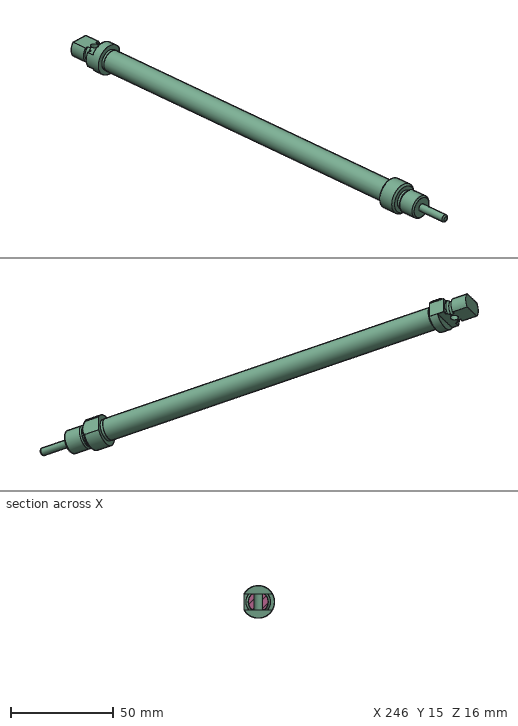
import cadquery as cq


total_length = 246.0
relief_start_x = 8.4
relief_taper_x = 10.3
rear_flange_start_x = 12.0
slot_end_x = 15.5
rear_flange_end_x = 20.2
tube_start_x = 21.6
tube_end_x = 207.6
front_flange_start_x = 209.0
front_flange_end_x = 218.2
thread_start_x = 220.0
thread_end_x = 229.8

flange_radius = 16.0 / 2
flange_flat_y = 15.0 - flange_radius
thread_radius = 12.0 / 2
relief_radius = 9.8 / 2
tube_radius = 11.3 / 2
collar_radius = 11.0 / 2
rod_radius = 4.0 / 2

tongue_thickness = 7.9
pivot_hole_diameter = 4.0
pivot_hole_x = 10.0

relief_taper_length = 1.0
flange_chamfer = 1.0
thread_chamfer = 0.7
rod_chamfer = 0.7

cutter_size = 3 * flange_radius


def turned(outline):
    """Revolve an (x, radius) outline, closed along the X axis, into a solid."""
    start_x = outline[0][0]
    end_x = outline[-1][0]
    points = [(start_x, 0), *outline, (end_x, 0)]
    return cq.Workplane("XZ").polyline(points).close().revolve(360, (0, 0), (1, 0))


def block(start_x, end_x, bottom_z=-cutter_size, start_y=-cutter_size):
    """Box between two X stations, reaching past the part in +Y and +Z."""
    return cq.Workplane("XY").box(
        end_x - start_x, cutter_size - start_y, cutter_size - bottom_z, centered=False
    ).translate((start_x, start_y, bottom_z))


def cut_flange_flat(cap):
    """Plane the +Y side of a cap's flange to a flat."""
    return cap.cut(block(0, total_length, start_y=flange_flat_y))


def make_rear_cap():
    cap = turned([
        (0, thread_radius),
        (relief_start_x, thread_radius),
        (relief_start_x, relief_radius),
        (relief_taper_x, relief_radius),
        (relief_taper_x + relief_taper_length, thread_radius),
        (rear_flange_start_x, thread_radius),
        (rear_flange_start_x, flange_radius),
        (rear_flange_end_x, flange_radius),
        (rear_flange_end_x, collar_radius),
        (tube_start_x, collar_radius),
    ])
    cap = cut_flange_flat(cap)
    upper_cutter = block(0, slot_end_x, bottom_z=tongue_thickness / 2)
    cap = cap.cut(upper_cutter).cut(upper_cutter.mirror("XY"))
    pivot_hole = (
        cq.Workplane("XY")
        .center(pivot_hole_x, 0)
        .circle(pivot_hole_diameter / 2)
        .extrude(flange_radius, both=True)
    )
    return cap.cut(pivot_hole)


def make_tube():
    return turned([(tube_start_x, tube_radius), (tube_end_x, tube_radius)])


def make_front_cap():
    cap = turned([
        (tube_end_x, collar_radius),
        (front_flange_start_x, collar_radius),
        (front_flange_start_x, flange_radius),
        (front_flange_end_x - flange_chamfer, flange_radius),
        (front_flange_end_x, flange_radius - flange_chamfer),
        (front_flange_end_x, relief_radius),
        (thread_start_x, relief_radius),
        (thread_start_x, thread_radius - thread_chamfer),
        (thread_start_x + thread_chamfer, thread_radius),
        (thread_end_x - thread_chamfer, thread_radius),
        (thread_end_x, thread_radius - thread_chamfer),
    ])
    return cut_flange_flat(cap)


def make_rod():
    return turned([
        (thread_end_x, rod_radius),
        (total_length - rod_chamfer, rod_radius),
        (total_length, rod_radius - rod_chamfer),
    ])


rear_cap = make_rear_cap()
tube = make_tube()
front_cap = make_front_cap()
rod = make_rod()

result = cq.Compound.makeCompound([
    rear_cap.val(),
    tube.val(),
    front_cap.val(),
    rod.val(),
])